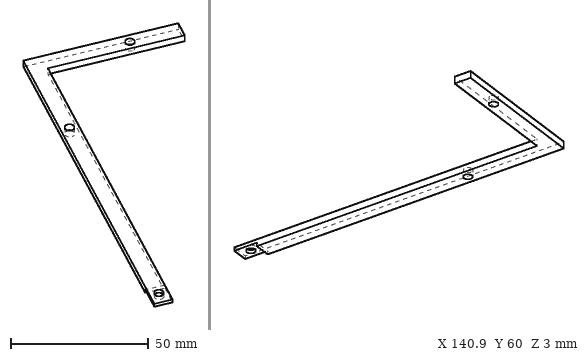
import cadquery as cq

long_arm = 140.9
short_arm = 60.0
thickness = 3.0
arm_width = 7.0

lap_length = 10.0
lap_thickness = thickness / 2

hole_diameter = 3.5
end_hole_inset = lap_length / 2
middle_hole_x = 40.0
short_arm_hole_y = 40.0
centreline = arm_width / 2

long_bar = cq.Workplane("XY").box(long_arm, arm_width, thickness, centered=False)
short_bar = cq.Workplane("XY").box(arm_width, short_arm, thickness, centered=False)
plate = long_bar.union(short_bar)

lap_cut = (
    cq.Workplane("XY")
    .box(lap_length, arm_width, thickness - lap_thickness, centered=False)
    .translate((long_arm - lap_length, 0, 0))
)

hole_centres = [
    (centreline, short_arm_hole_y),
    (middle_hole_x, centreline),
    (long_arm - end_hole_inset, centreline),
]
holes = cq.Workplane("XY").pushPoints(hole_centres).circle(hole_diameter / 2).extrude(thickness)

result = plate.cut(lap_cut).cut(holes)